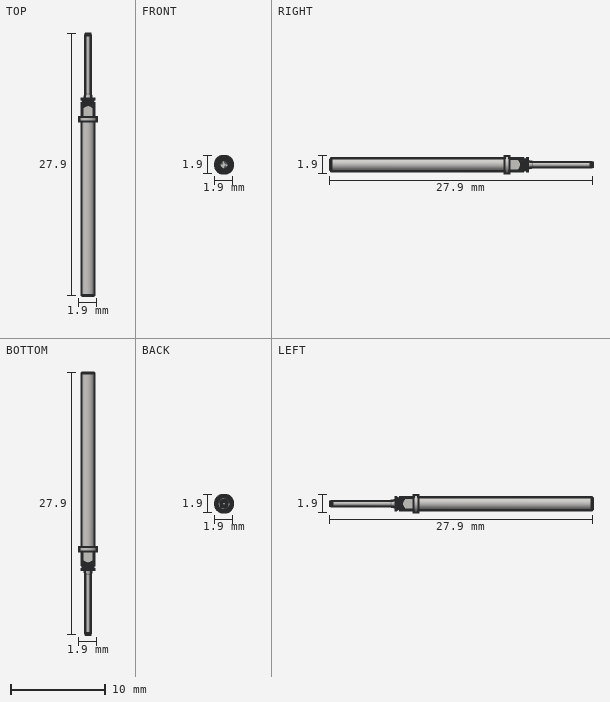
import cadquery as cq

total_length = 27.9
collar_radius = 0.95
collar_length = 0.5
barrel_radius = 0.7
barrel_length = 18.53
barrel_end_radius = 0.5
barrel_end_taper = 0.15

square_side = 2 * barrel_radius
square_corner_radius = 0.92
square_length = 1.25
square_nose_radius = barrel_radius
square_nose_taper = 0.25

valley_radius = 0.59
valley_length = 0.1
ridge_rise = 0.08
groove_radius = 0.5
ridge_fall = 0.15
groove_width = 0.15
flange_cone = 0.15
flange_rim = 0.08

plunger_radius = 0.3
plunger_root_radius = 0.4
root_length = 0.47
tip_radius = 0.22
tip_length = 0.25

tip_y = total_length - barrel_length
collar_end_y = collar_length
square_end_y = collar_end_y + square_length
valley_y = square_end_y + valley_length
ridge_y = valley_y + ridge_rise
groove_start_y = ridge_y + ridge_fall
groove_end_y = groove_start_y + groove_width
flange_start_y = groove_end_y + flange_cone
flange_end_y = flange_start_y + flange_rim
root_end_y = flange_end_y + root_length


def revolve_profile(points):
    """Revolve an outline of (radius, y) points about the Y axis."""
    outline = cq.Workplane("XY").polyline(points).close()
    return outline.revolve(360, (0, 0, 0), (0, 1, 0))


def make_barrel_and_collar():
    return revolve_profile([
        (0, -barrel_length),
        (barrel_end_radius, -barrel_length),
        (barrel_radius, -barrel_length + barrel_end_taper),
        (barrel_radius, 0),
        (collar_radius, 0),
        (collar_radius, collar_end_y),
        (0, collar_end_y),
    ])


def make_square_shank():
    """Square bar whose corners are turned round and coned at the neck end."""
    bar = cq.Workplane("XY").box(square_side, square_length, square_side)
    bar = bar.translate((0, collar_end_y + square_length / 2, 0))
    turned_envelope = revolve_profile([
        (0, collar_end_y),
        (square_corner_radius, collar_end_y),
        (square_corner_radius, square_end_y - square_nose_taper),
        (square_nose_radius, square_end_y),
        (0, square_end_y),
    ])
    return bar.intersect(turned_envelope)


def make_neck_and_plunger():
    return revolve_profile([
        (0, square_end_y),
        (square_nose_radius, square_end_y),
        (valley_radius, valley_y),
        (barrel_radius, ridge_y),
        (groove_radius, groove_start_y),
        (groove_radius, groove_end_y),
        (barrel_radius, flange_start_y),
        (barrel_radius, flange_end_y),
        (plunger_root_radius, flange_end_y),
        (plunger_radius, root_end_y),
        (plunger_radius, tip_y - tip_length),
        (tip_radius, tip_y),
        (0, tip_y),
    ])


result = make_barrel_and_collar().union(make_square_shank()).union(make_neck_and_plunger())